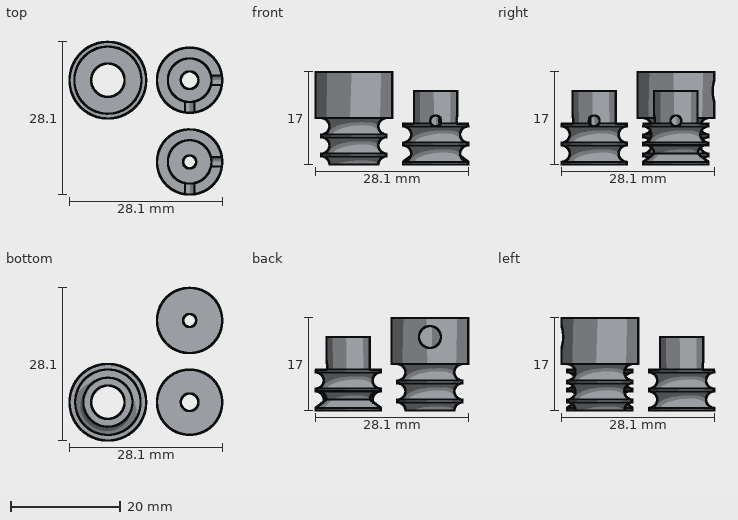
import cadquery as cq

rim_diameter = 12.0
rim_radius = rim_diameter / 2
ridge_thickness = 0.5
groove_width = 3.0
groove_radius = groove_width / 2
groove_pitch = groove_width + ridge_thickness

hub_diameter = 8.0
hub_height = 6.0
hub_base_z = 2 * groove_pitch + ridge_thickness
plain_bore_diameter = 2.35
tapered_bore_diameter = 3.2
screw_hole_diameter = 2.0
screw_hole_z = 2 * groove_pitch + screw_hole_diameter / 2
first_groove_z = ridge_thickness + groove_radius

cone_top_radius = hub_diameter / 2

cup_diameter = 14.1
cup_inner_diameter = 12.3
cup_bore_diameter = 6.1
cup_floor_thickness = 1.5
total_height = 17.0
cup_base_z = total_height / 2
cup_floor_z = cup_base_z + cup_floor_thickness
cup_window_diameter = 4.0
cup_window_z = (cup_floor_z + total_height) / 2

overall_width = 28.05
pulley_spacing = overall_width - cup_diameter / 2 - rim_radius


def cylinder(diameter, bottom, top):
    """Upright cylinder on the Z axis between two heights."""
    return cq.Workplane("XY").workplane(offset=bottom).circle(diameter / 2).extrude(top - bottom)


def belt_groove(center_z, depth=groove_radius):
    """Ring that cuts a groove of the common width, with a round bottom at the given depth."""
    arc_radius = (depth**2 + groove_radius**2) / (2 * depth)
    arc_center = rim_radius - depth + arc_radius
    return cq.Workplane("XZ").center(arc_center, center_z).circle(arc_radius).revolve(
        360, (-arc_center, 0, 0), (-arc_center, 1, 0)
    )


def cut_screw_holes(pulley):
    """Cut radial set-screw holes from the bore out through -Y and +X."""
    toward_front = cq.Workplane("XZ", origin=(0, 0, screw_hole_z))
    toward_right = cq.Workplane("YZ", origin=(0, 0, screw_hole_z))
    for plane in (toward_front, toward_right):
        pulley = pulley.cut(plane.circle(screw_hole_diameter / 2).extrude(rim_diameter))
    return pulley


def hub_pulley(bore_diameter, first_groove_depth=groove_radius):
    """Two-groove pulley with a hub on top and a through bore."""
    hub_top_z = hub_base_z + hub_height
    pulley = cylinder(rim_diameter, 0, hub_base_z).union(cylinder(hub_diameter, hub_base_z, hub_top_z))
    pulley = pulley.cut(belt_groove(first_groove_z, first_groove_depth))
    pulley = pulley.cut(belt_groove(first_groove_z + groove_pitch))
    pulley = pulley.cut(cylinder(bore_diameter, 0, hub_top_z))
    return cut_screw_holes(pulley)


def cone_flank():
    """Solid cone that fills the lower half of the first groove up to a straight flank."""
    profile = [
        (tapered_bore_diameter / 2, ridge_thickness),
        (rim_radius, ridge_thickness),
        (cone_top_radius, first_groove_z),
        (tapered_bore_diameter / 2, first_groove_z),
    ]
    return cq.Workplane("XZ").polyline(profile).close().revolve(360, (0, 0, 0), (0, 1, 0))


def make_plain_pulley():
    return hub_pulley(plain_bore_diameter)


def make_tapered_pulley():
    return hub_pulley(tapered_bore_diameter, rim_radius - cone_top_radius).union(cone_flank())


def make_cup_pulley():
    """Grooved pulley that carries an open cup with a round window in its +Y wall."""
    pulley = cylinder(rim_diameter, 0, cup_base_z)
    for index in range(3):
        pulley = pulley.cut(belt_groove(index * groove_pitch))
    pulley = pulley.union(cylinder(cup_diameter, cup_base_z, total_height))
    pulley = pulley.cut(cylinder(cup_inner_diameter, cup_floor_z, total_height))
    pulley = pulley.cut(cylinder(cup_bore_diameter, 0, cup_floor_z))
    window = cq.Workplane("XZ", origin=(0, 0, cup_window_z)).circle(cup_window_diameter / 2)
    return pulley.cut(window.extrude(-cup_diameter))


cup_pulley = make_cup_pulley()
tapered_pulley = make_tapered_pulley().translate((pulley_spacing, 0, 0))
plain_pulley = make_plain_pulley().translate((pulley_spacing, -pulley_spacing, 0))

result = cq.Compound.makeCompound([cup_pulley.val(), tapered_pulley.val(), plain_pulley.val()])